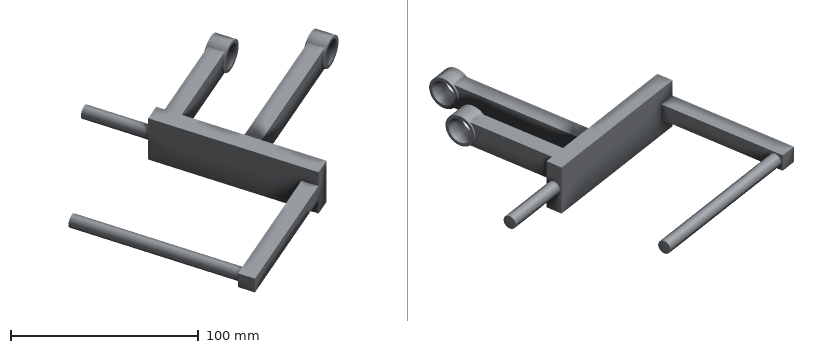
import cadquery as cq

plate_length = 100.0
plate_thickness = 10.0
plate_height = 30.0

rod_diameter = 8.0
side_rod_length = 40.0
front_rod_length = 100.0

front_arm_width = 10.0
front_arm_length = 80.0

rear_arm_width = 10.0
rear_arm_height = plate_height / 2
ring_outer_diameter = 19.0
ring_bore_diameter = 15.0
ring_width = 12.0
upper_arm_center_x = 10.0
upper_ring_y = 70.0
lower_arm_center_x = 50.0
lower_ring_y = 110.0


def block(x_range, y_range, z_range):
    """Box between the given limits along X, Y and Z."""
    sizes = [high - low for low, high in (x_range, y_range, z_range)]
    corner = cq.Vector(x_range[0], y_range[0], z_range[0])
    return cq.Workplane("XY").box(*sizes, centered=False).translate(corner)


def x_cylinder(x_start, length, y, z, diameter):
    """Cylinder along +X starting at x_start."""
    return (
        cq.Workplane("YZ", origin=(x_start, y, z))
        .circle(diameter / 2)
        .extrude(length)
    )


def rear_arm(center_x, ring_y, center_z):
    """Arm from the plate to a ring, with the ring bore cut clear through the arm end."""
    arm = block(
        (center_x - rear_arm_width / 2, center_x + rear_arm_width / 2),
        (plate_thickness, ring_y),
        (center_z - rear_arm_height / 2, center_z + rear_arm_height / 2),
    )
    ring_start = center_x - ring_width / 2
    ring = x_cylinder(ring_start, ring_width, ring_y, center_z, ring_outer_diameter)
    bore = x_cylinder(ring_start, ring_width, ring_y, center_z, ring_bore_diameter)
    return arm.union(ring).cut(bore)


def front_arm():
    """Forward arm carrying the front rod, which points back toward -X near its tip."""
    arm_left = plate_length - front_arm_width
    half_width = front_arm_width / 2
    arm = block(
        (arm_left, plate_length),
        (-front_arm_length, 0),
        (-half_width, half_width),
    )
    rod_y = half_width - front_arm_length
    rod = x_cylinder(arm_left - front_rod_length, front_rod_length, rod_y, 0, rod_diameter)
    return arm.union(rod)


plate = block(
    (0, plate_length),
    (0, plate_thickness),
    (-plate_height / 2, plate_height / 2),
)
side_rod = x_cylinder(-side_rod_length, side_rod_length, plate_thickness / 2, 0, rod_diameter)
upper_arm = rear_arm(upper_arm_center_x, upper_ring_y, rear_arm_height / 2)
lower_arm = rear_arm(lower_arm_center_x, lower_ring_y, -rear_arm_height / 2)

result = plate.union(side_rod).union(front_arm()).union(upper_arm).union(lower_arm)